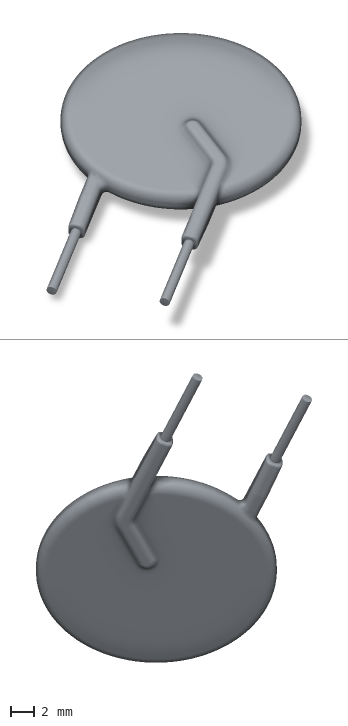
import cadquery as cq
import math

disc_radius = 10.4
disc_thickness = 2.0
rim_rounding = 0.85

lead_spacing = 10.16
wire_height = 0.7
wire_radius = 0.45
wire_end_y = -22.6

overall_thickness = 3.0
coat_width = 1.5
coat_corner = 0.55
coat_end_y = -15.0
coat_end_rounding = 0.2
tip_distance = 2.1
bend_radius = 1.6
blend_radius = 0.5

root_underside = -0.45
end_underside = -0.1
taper_start_y = -11.55

lead_x = lead_spacing / 2
coat_top = overall_thickness / 2
coat_height = coat_top - end_underside

bend_angle = math.radians(45)
bend_tangent = bend_radius * math.tan(bend_angle / 2)
tip_x = tip_distance * math.cos(bend_angle)
bend_start_x = lead_x - bend_tangent * math.cos(bend_angle)
bend_end_y = -lead_x - bend_tangent
bend_middle_x = lead_x - bend_radius * (1 - math.cos(bend_angle / 2))
bend_middle_y = bend_end_y + bend_radius * math.sin(bend_angle / 2)


def turn_over(body):
    """Half turn about Y, which takes the upper lead to the lower lead."""
    return body.rotate((0, 0, 0), (0, 1, 0), 180)


def make_disc():
    """Flat disc with rounded rims."""
    disc = cq.Workplane("XY").circle(disc_radius).extrude(disc_thickness / 2, both=True)
    return disc.faces("|Z").edges().fillet(rim_rounding)


def make_straight_coat():
    """Straight run of the upper lead's coating, with the tapered underside."""
    outline = [
        (bend_end_y, coat_top),
        (coat_end_y, coat_top),
        (coat_end_y, end_underside),
        (taper_start_y, root_underside),
        (bend_end_y, root_underside),
    ]
    side_plane = cq.Workplane("YZ", origin=(lead_x, 0, 0))
    run = side_plane.polyline(outline).close().extrude(coat_width / 2, both=True)
    long_edges = run.faces("|X").edges("not |Z")
    return long_edges.fillet(coat_corner).faces("<Y").edges().fillet(coat_end_rounding)


def make_bent_coat():
    """Bend and slanted run of the upper lead's coating over the disc, with a round tip."""
    middle_height = coat_top - coat_height / 2
    path = (
        cq.Workplane("XY", origin=(lead_x, bend_end_y, middle_height))
        .threePointArc(
            (bend_middle_x - lead_x, bend_middle_y - bend_end_y),
            (bend_start_x - lead_x, -bend_start_x - bend_end_y),
        )
        .lineTo(tip_x - lead_x, -tip_x - bend_end_y)
    )
    section = cq.Sketch().rect(coat_width, coat_height).vertices().fillet(coat_corner)
    run = cq.Workplane("XZ", origin=(lead_x, bend_end_y, middle_height)).placeSketch(section).sweep(path)
    tip = (
        cq.Workplane("XY", origin=(tip_x, -tip_x, middle_height))
        .circle(coat_width / 2)
        .extrude(coat_height / 2, both=True)
        .faces("|Z")
        .edges()
        .fillet(coat_corner)
    )
    return run.union(tip)


def make_coating():
    """Disc and both lead coatings in one piece, blended where they meet."""
    disc = make_disc()
    upper = make_bent_coat().union(make_straight_coat())
    lower = turn_over(upper)
    coating = disc.union(upper).union(lower)
    disc_skin = disc.val().Shells()[0]
    lead_skins = [upper.val().Shells()[0], lower.val().Shells()[0]]
    touch_tolerance = 1e-3

    def is_seam(edge):
        middle = cq.Vertex.makeVertex(*edge.positionAt(0.5).toTuple())
        lead_gap = min(skin.distance(middle) for skin in lead_skins)
        return max(lead_gap, disc_skin.distance(middle)) < touch_tolerance

    return coating.edges().filter(is_seam).fillet(blend_radius)


def make_wire():
    """Upper wire, from the end face of its coating to its free end."""
    wire_length = coat_end_y - wire_end_y
    end_plane = cq.Workplane("XZ", origin=(lead_x, coat_end_y, wire_height))
    return end_plane.circle(wire_radius).extrude(wire_length)


coating = make_coating()
upper_wire = make_wire()
lower_wire = turn_over(upper_wire)

result = cq.Compound.makeCompound([coating.val(), upper_wire.val(), lower_wire.val()])